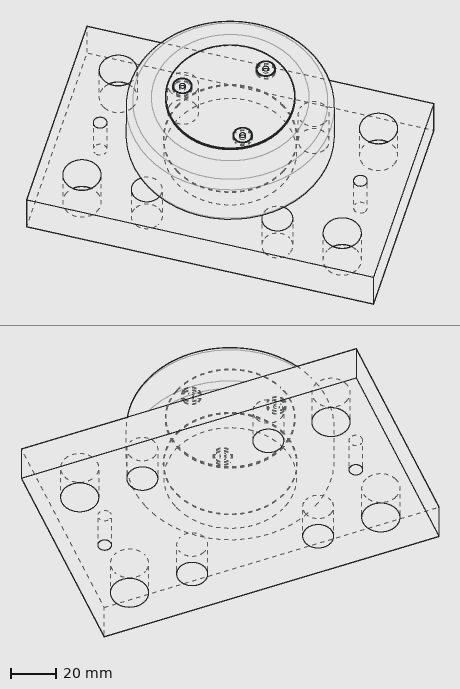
import cadquery as cq
import math

PLATE_LENGTH = 160.0
PLATE_WIDTH = 100.0
PLATE_THICKNESS = 20.0

OUTER_HOLE_X = 60.0
INNER_HOLE_X = 30.0
HOLE_ROW_Y = 30.0
CORNER_HOLE_DIAMETER = 17.0
INNER_HOLE_DIAMETER = 13.8
DOWEL_HOLE_DIAMETER = 6.0

TOTAL_HEIGHT = 61.0
SHAFT_DIAMETER = 59.0
ROLLER_RADIUS = 46.2
ROLLER_BOTTOM = 30.0
ROLLER_TOP = 60.2
TOP_FACE_RADIUS = 35.0
CONE_DROP = 3.5
SHOULDER_RADIUS = 4.2
BOTTOM_FILLET = 2.4
COLLAR_DROP = 0.5
COLLAR_DIAMETER = 59.5
CAP_DIAMETER = 57.8
CAP_CHAMFER = 0.3

SCREW_COUNT = 3
SCREW_CIRCLE_RADIUS = 22.0
COUNTERBORE_DIAMETER = 8.6
SCREW_HEAD_DIAMETER = 7.8
SCREW_RECESS_DEPTH = 2.0
SOCKET_DIAMETER = 2.7
SOCKET_DEPTH = 1.6


def cylinder(diameter, bottom, top):
    return cq.Workplane("XY").workplane(offset=bottom).circle(diameter / 2).extrude(top - bottom)


def make_plate():
    """Plate with four corner holes, four inner holes and two dowel holes."""
    plate = cq.Workplane("XY").box(PLATE_LENGTH, PLATE_WIDTH, PLATE_THICKNESS, centered=(True, True, False))
    for x, diameter in ((OUTER_HOLE_X, CORNER_HOLE_DIAMETER), (INNER_HOLE_X, INNER_HOLE_DIAMETER)):
        plate = plate.faces(">Z").workplane().rect(2 * x, 2 * HOLE_ROW_Y, forConstruction=True)
        plate = plate.vertices().hole(diameter)
    dowels = [(-OUTER_HOLE_X, 0), (OUTER_HOLE_X, 0)]
    return plate.faces(">Z").workplane().pushPoints(dowels).hole(DOWEL_HOLE_DIAMETER)


def make_roller():
    """Roller with a conical top, a rounded shoulder and a rounded lower edge."""
    shoulder_z = ROLLER_TOP - CONE_DROP
    profile = [
        (0, ROLLER_BOTTOM),
        (ROLLER_RADIUS, ROLLER_BOTTOM),
        (ROLLER_RADIUS, shoulder_z),
        (TOP_FACE_RADIUS, ROLLER_TOP),
        (0, ROLLER_TOP),
    ]
    roller = cq.Workplane("XZ").polyline(profile).close().revolve(360, (0, 0, 0), (0, 1, 0))
    roller = roller.edges("%CIRCLE").sort(lambda edge: -edge.Center().z)[1].fillet(SHOULDER_RADIUS)
    return roller.faces("<Z").edges().fillet(BOTTOM_FILLET)


def make_screw_recess():
    """Ring gap around a screw head, with the socket in the middle of the head."""
    recess_bottom = TOTAL_HEIGHT - SCREW_RECESS_DEPTH
    gap = cylinder(COUNTERBORE_DIAMETER, recess_bottom, TOTAL_HEIGHT)
    gap = gap.cut(cylinder(SCREW_HEAD_DIAMETER, recess_bottom, TOTAL_HEIGHT))
    return gap.union(cylinder(SOCKET_DIAMETER, TOTAL_HEIGHT - SOCKET_DEPTH, TOTAL_HEIGHT))


shaft = cylinder(SHAFT_DIAMETER, PLATE_THICKNESS, ROLLER_BOTTOM)
collar = cylinder(COLLAR_DIAMETER, ROLLER_BOTTOM - COLLAR_DROP, ROLLER_BOTTOM)
cap = cylinder(CAP_DIAMETER, ROLLER_TOP, TOTAL_HEIGHT).faces(">Z").edges().chamfer(CAP_CHAMFER)

result = make_plate().union(shaft).union(collar).union(make_roller()).union(cap)

for index in range(SCREW_COUNT):
    angle = math.pi + index * 2 * math.pi / SCREW_COUNT
    x = SCREW_CIRCLE_RADIUS * math.cos(angle)
    y = SCREW_CIRCLE_RADIUS * math.sin(angle)
    result = result.cut(make_screw_recess().translate((x, y, 0)))